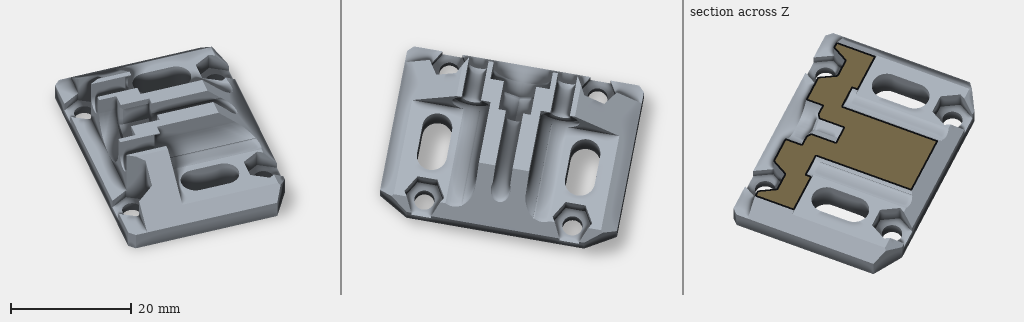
import cadquery as cq
import math


length = 40.0
plate_thick = 3.0
height = 11.0
front_ledge = 3.0
side_slope_run = 10.0
front_corner = 1.0
back_corner_x = 5.0
back_corner_y = 3.0

bolt_pitch_x = 25.0
bolt_pitch_y = 23.0
bolt_dia = 3.35
nut_flats = 5.8
front_seat_z = 1.5
back_seat_z = 2.0
width = bolt_pitch_y + nut_flats
bolt_y = nut_flats / 2

slot_width = 5.0
slot_length = 10.0
slot_y = 16.5

axis_z = 8.0
rod_pitch = 15.0
rod_dia = 3.3
bearing_dia = 6.5
bearing_start_y = 9.0
step_start_y = 10.0
step_z = 5.0
step_inner_x = 6.0

screw_dia = 3.3
screw_slot_width = 2.9
flange_dia = 10.0
flange_end_y = 6.0
trap_flats = 6.0
trap_mouth_flats = 6.8
trap_taper_end_y = 6.5
trap_end_y = 11.0
trap_slot_width = 5.45

body_rise = height - plate_thick
half_length = length / 2
rod_x = rod_pitch / 2


def box(x_min, x_max, y_min, y_max, z_min, z_max):
    """Axis-aligned block between the given limits."""
    return cq.Workplane("XY").box(
        x_max - x_min, y_max - y_min, z_max - z_min, centered=False
    ).translate((x_min, y_min, z_min))


def hexagon_dia(flats):
    """Corner-to-corner size of a hexagon with the given width across flats."""
    return flats / math.cos(math.radians(30))


def section_at(y, x=0.0):
    """Upright plane facing the back, centred on the axis height."""
    return cq.Workplane(cq.Plane(origin=(x, y, axis_z), xDir=(-1, 0, 0), normal=(0, 1, 0)))


def open_bore(x, dia, slot, y_min, y_max):
    """Round bore along Y with a slot from its axis up through the top."""
    bore = section_at(y_min, x).circle(dia / 2).extrude(y_max - y_min)
    return bore.union(box(x - slot / 2, x + slot / 2, y_min, y_max, axis_z, height))


def make_blank():
    """Plate outline carrying a body sloped at both sides and at the back."""
    outline = (
        cq.Workplane("XY")
        .polyline([
            (-half_length + front_corner, 0),
            (half_length - front_corner, 0),
            (half_length, front_corner),
            (half_length, width - back_corner_y),
            (half_length - back_corner_x, width),
            (-half_length + back_corner_x, width),
            (-half_length, width - back_corner_y),
            (-half_length, front_corner),
        ])
        .close()
        .extrude(height)
    )
    side_to_side = (
        cq.Workplane("XZ")
        .polyline([
            (-half_length, 0),
            (half_length, 0),
            (half_length, plate_thick),
            (half_length - side_slope_run, height),
            (-half_length + side_slope_run, height),
            (-half_length, plate_thick),
        ])
        .close()
        .extrude(-width)
    )
    front_to_back = (
        cq.Workplane("YZ")
        .polyline([
            (0, 0),
            (width, 0),
            (width, plate_thick),
            (width - body_rise, height),
            (front_ledge, height),
            (front_ledge, plate_thick),
            (0, plate_thick),
        ])
        .close()
        .extrude(half_length, both=True)
    )
    return outline.intersect(side_to_side).intersect(front_to_back)


def rod_side_cut(side):
    """Rod groove, bearing channel and lowered side on one side (-1 or 1)."""
    x = side * rod_x
    rod = open_bore(x, rod_dia, rod_dia, 0, width)
    bearing = section_at(bearing_start_y, x).circle(bearing_dia / 2).extrude(width - bearing_start_y)
    bearing_edge = rod_x - bearing_dia / 2
    above_bearing = box(bearing_edge, half_length, step_start_y, width, axis_z, height)
    lowered = box(step_inner_x, half_length, step_start_y, width, step_z, height)
    opening = above_bearing.union(lowered)
    if side < 0:
        opening = opening.mirror("YZ")
    return rod.union(bearing).union(opening)


def screw_cut():
    """Central screw groove with its flange recess and tapered nut trap."""
    screw = open_bore(0, screw_dia, screw_slot_width, 0, width)
    flange = open_bore(0, flange_dia, flange_dia, 0, flange_end_y)
    taper_length = trap_taper_end_y - flange_end_y
    point_down = 90
    mouth = (
        section_at(flange_end_y)
        .transformed(rotate=(0, 0, point_down))
        .polygon(6, hexagon_dia(trap_mouth_flats))
        .workplane(offset=taper_length)
        .polygon(6, hexagon_dia(trap_flats))
        .loft(ruled=True)
    )
    trap = (
        section_at(flange_end_y)
        .transformed(rotate=(0, 0, point_down))
        .polygon(6, hexagon_dia(trap_flats))
        .extrude(trap_end_y - flange_end_y)
    )
    half_slot = trap_slot_width / 2
    trap_slot = box(-half_slot, half_slot, flange_end_y, trap_end_y, axis_z, height)
    return screw.union(flange).union(mouth).union(trap).union(trap_slot)


def bolt_row_cut(y, seat_z):
    """Left and right through holes at one Y, with hexagonal nut seats open to the top."""
    half_pitch = bolt_pitch_x / 2
    centers = [(-half_pitch, y), (half_pitch, y)]
    holes = cq.Workplane("XY").pushPoints(centers).circle(bolt_dia / 2).extrude(height)
    seats = (
        cq.Workplane("XY", origin=(0, 0, seat_z))
        .pushPoints(centers)
        .polygon(6, hexagon_dia(nut_flats))
        .extrude(height - seat_z)
    )
    return holes.union(seats)


def slot_cuts():
    """Two vertical mounting slots, in line with the bolts."""
    half_pitch = bolt_pitch_x / 2
    return (
        cq.Workplane("XY")
        .pushPoints([(-half_pitch, slot_y), (half_pitch, slot_y)])
        .slot2D(slot_length, slot_width, 90)
        .extrude(height)
    )


result = make_blank()
for side in (-1, 1):
    result = result.cut(rod_side_cut(side))
result = result.cut(screw_cut())
result = result.cut(bolt_row_cut(bolt_y, front_seat_z))
result = result.cut(bolt_row_cut(bolt_y + bolt_pitch_y, back_seat_z))
result = result.cut(slot_cuts())